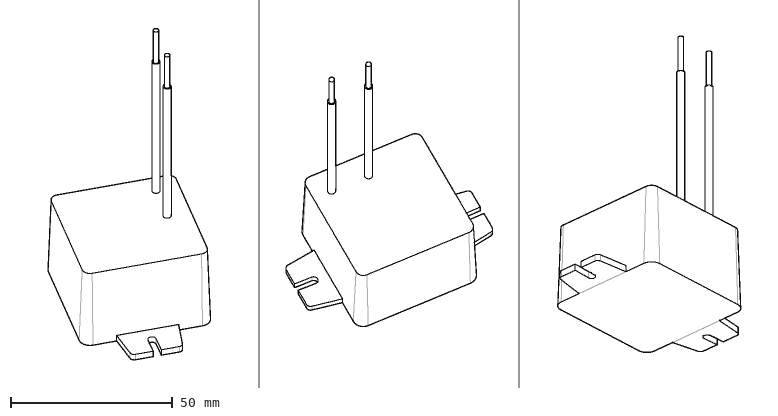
import cadquery as cq
import math

body_width = 42.1
body_height = 27.8
body_corner_radius = 3.5
draft_angle = 2.0

overall_width = 63.9
tab_root_width = 19.9
tab_tip_width = 16.5
tab_thickness = 2.2
tab_corner_radius = 1.4
tab_embed = 1.8
slot_width = 2.6
slot_end_x = 24.7

overall_height = 91.4
wire_y = 12.4
wire_first_x = -13.7
wire_pitch = 12.7
insulation_diameter = 2.6
conductor_diameter = 1.7
stripped_length = 12.4

root_x = body_width / 2
tip_x = overall_width / 2
inner_x = root_x - tab_embed
tip_rise = (tip_x - root_x) * math.tan(math.radians(draft_angle))


def make_body():
    base = cq.Sketch().rect(body_width, body_width).vertices().fillet(body_corner_radius)
    return cq.Workplane("XY").placeSketch(base).extrude(body_height, taper=draft_angle)


def make_tab():
    """Slotted tab on the +X side, with its root embedded in the body."""
    plan_height = tab_thickness + tip_rise
    plan = (
        cq.Workplane("XY")
        .polyline([
            (inner_x, -tab_root_width / 2),
            (root_x, -tab_root_width / 2),
            (tip_x, -tab_tip_width / 2),
            (tip_x, tab_tip_width / 2),
            (root_x, tab_root_width / 2),
            (inner_x, tab_root_width / 2),
        ])
        .close()
        .extrude(plan_height)
        .edges("|Z and >X")
        .fillet(tab_corner_radius)
    )

    slot_length = 2 * (tip_x - slot_end_x)
    slot = cq.Workplane("XY").center(tip_x, 0).slot2D(slot_length, slot_width).extrude(plan_height)

    side = (
        cq.Workplane("XZ")
        .polyline([
            (inner_x, 0),
            (root_x, 0),
            (tip_x, tip_rise),
            (tip_x, tip_rise + tab_thickness),
            (root_x, tab_thickness),
            (inner_x, tab_thickness),
        ])
        .close()
        .extrude(tab_root_width / 2, both=True)
    )
    return plan.cut(slot).intersect(side)


def make_wire(x):
    """Insulated wire with a bare conductor at its top end."""
    insulation_length = overall_height - body_height - stripped_length
    return (
        cq.Workplane("XY", origin=(x, wire_y, body_height))
        .circle(insulation_diameter / 2)
        .extrude(insulation_length)
        .faces(">Z")
        .workplane()
        .circle(conductor_diameter / 2)
        .extrude(stripped_length)
    )


tab = make_tab()
result = make_body().union(tab).union(tab.mirror("YZ"))
for wire_index in range(2):
    result = result.union(make_wire(wire_first_x + wire_index * wire_pitch))